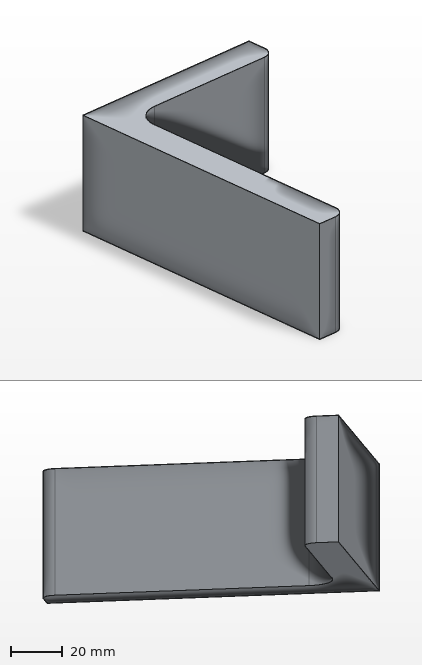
import cadquery as cq

long_leg = 130.0
short_leg = 90.0
thickness = 14.0
length = 50.0
root_radius = 11.0
toe_radius = 5.5


def angle_section():
    """Sharp-cornered L outline with the heel at the origin."""
    return (
        cq.Workplane("XY")
        .moveTo(0, 0)
        .lineTo(long_leg, 0)
        .lineTo(long_leg, thickness)
        .lineTo(thickness, thickness)
        .lineTo(thickness, short_leg)
        .lineTo(0, short_leg)
        .close()
    )


def round_edge_at(body, x, y, radius):
    """Fillet the vertical edge that passes through (x, y)."""
    edge_middle = (x, y, length / 2)
    return body.edges(cq.NearestToPointSelector(edge_middle)).fillet(radius)


angle = angle_section().extrude(length)
angle = round_edge_at(angle, thickness, thickness, root_radius)
angle = round_edge_at(angle, long_leg, thickness, toe_radius)
angle = round_edge_at(angle, thickness, short_leg, toe_radius)

result = angle